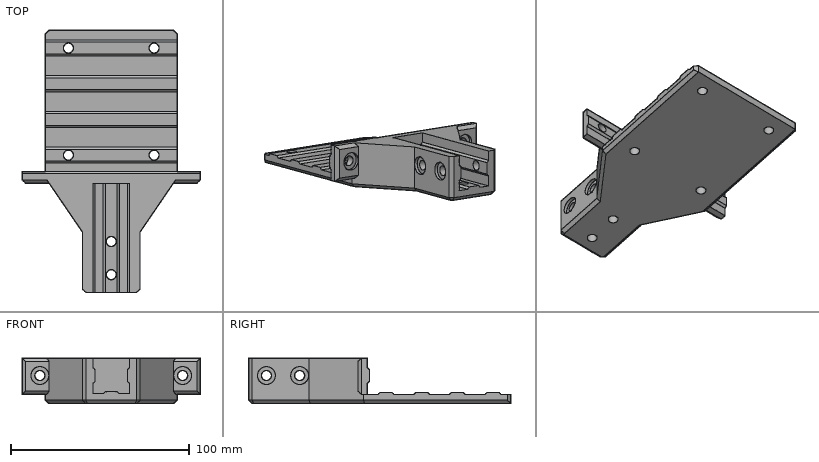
import cadquery as cq

HEIGHT = 25.6
LENGTH = 147.0
EDGE_CHAMFER = 2.0

PLATE_WIDTH = 74.0
PLATE_TOP = 5.2
RIB_PITCH = 20.0
RIB_COUNT = 4
PLATE_HOLE_X = 24.0

RIB_BASE = 9.0
RIB_TOP = 6.6
RIB_HEIGHT = 1.2

FLANGE_WIDTH = 100.0
FLANGE_BOTTOM = 5.2
FLANGE_BACK_Y = 66.6
FLANGE_THICKNESS = 5.4
FLANGE_FRONT_Y = FLANGE_BACK_Y - FLANGE_THICKNESS
FLANGE_HOLE_X = 40.0

SOCKET_OUTER_WIDTH = 32.4
SOCKET_WIDTH = 20.6
SOCKET_FLOOR = 5.6
SOCKET_END_Y = FLANGE_FRONT_Y
TAPER_START_Y = 33.9
TAPER_END_Y = 64.4
SOCKET_HOLE_Y = (10.0, 28.6)

RAIL_AXIS_DROP = 9.8
RAIL_AXIS_Z = HEIGHT - RAIL_AXIS_DROP
HOLE_DIAMETER = 5.5
COUNTERBORE_DIAMETER = 10.0
COUNTERBORE_DEPTH = 1.8


def rib_profile(plane):
    """Trapezoid standing on the wall that carries the rib."""
    return (
        cq.Workplane(plane)
        .moveTo(-RIB_BASE / 2, 0)
        .lineTo(-RIB_TOP / 2, RIB_HEIGHT)
        .lineTo(RIB_TOP / 2, RIB_HEIGHT)
        .lineTo(RIB_BASE / 2, 0)
        .close()
    )


def rib(start, direction, outward, length):
    """Rib that runs from start along direction and stands out along outward."""
    across = cq.Vector(*outward).cross(cq.Vector(*direction))
    return rib_profile(cq.Plane(start, across, direction)).extrude(length)


def make_base():
    """Low plate behind a full-height tapered body, chamfered underneath except along the back end."""
    half_plate = PLATE_WIDTH / 2
    half_socket = SOCKET_OUTER_WIDTH / 2
    right_side = [
        (half_socket - EDGE_CHAMFER, 0),
        (half_socket, EDGE_CHAMFER),
        (half_socket, TAPER_START_Y),
        (half_plate, TAPER_END_Y),
        (half_plate, LENGTH),
    ]
    left_side = [(-x, y) for x, y in reversed(right_side)]
    outline = cq.Workplane("XY").polyline(right_side + left_side).close()
    body = outline.extrude(HEIGHT)
    body = body.faces("<Z").edges("not >Y").chamfer(EDGE_CHAMFER)
    body = body.faces(">Y").edges("<X or >X").chamfer(EDGE_CHAMFER)
    clearance = cq.Workplane("XY").box(
        PLATE_WIDTH, LENGTH - FLANGE_BACK_Y, HEIGHT - PLATE_TOP, centered=(True, False, False)
    )
    return body.cut(clearance.translate((0, FLANGE_BACK_Y, PLATE_TOP)))


def make_flange():
    """Cross flange, chamfered round its front face and ribbed along its back."""
    slab = (
        cq.Workplane("XY")
        .box(FLANGE_WIDTH, FLANGE_THICKNESS, HEIGHT - FLANGE_BOTTOM, centered=(True, False, False))
        .translate((0, FLANGE_FRONT_Y, FLANGE_BOTTOM))
        .faces("<Y")
        .edges()
        .chamfer(EDGE_CHAMFER)
    )
    start = (-FLANGE_WIDTH / 2, FLANGE_BACK_Y, RAIL_AXIS_Z)
    return slab.union(rib(start, (1, 0, 0), (0, 1, 0), FLANGE_WIDTH))


def plate_rib_y(index):
    """Centre line of a plate rib, counted from the back end of the plate."""
    return LENGTH - RIB_PITCH * (index + 0.5)


def add_plate_ribs(part):
    """Evenly spaced ribs across the top of the plate."""
    for index in range(RIB_COUNT):
        start = (-PLATE_WIDTH / 2, plate_rib_y(index), PLATE_TOP)
        part = part.union(rib(start, (1, 0, 0), (0, 0, 1), PLATE_WIDTH))
    return part


def cut_socket(part):
    """Open-topped rail socket with one rib on its floor and one on each side wall."""
    socket = (
        cq.Workplane("XY")
        .box(SOCKET_WIDTH, SOCKET_END_Y, HEIGHT - SOCKET_FLOOR, centered=(True, False, False))
        .translate((0, 0, SOCKET_FLOOR))
    )
    part = part.cut(socket)
    along = (0, 1, 0)
    part = part.union(rib((0, 0, SOCKET_FLOOR), along, (0, 0, 1), SOCKET_END_Y))
    for side in (-1, 1):
        start = (side * SOCKET_WIDTH / 2, 0, RAIL_AXIS_Z)
        part = part.union(rib(start, along, (-side, 0, 0), SOCKET_END_Y))
    return part


def cylinder(start, direction, diameter, length):
    """Cylinder that grows from the centre of its start face."""
    solid = cq.Solid.makeCylinder(diameter / 2, length, cq.Vector(*start), cq.Vector(*direction))
    return cq.Workplane(solid)


def counterbored_hole(part, start, direction, length):
    """Hole with a counterbore, both starting at the outer face."""
    part = part.cut(cylinder(start, direction, HOLE_DIAMETER, length))
    return part.cut(cylinder(start, direction, COUNTERBORE_DIAMETER, COUNTERBORE_DEPTH))


def drill_vertical_holes(part):
    """Plain holes through the plate's first and last ribs and through the socket floor."""
    places = [(0, y) for y in SOCKET_HOLE_Y]
    for index in (0, RIB_COUNT - 1):
        for side in (-1, 1):
            places.append((side * PLATE_HOLE_X, plate_rib_y(index)))
    for x, y in places:
        part = part.cut(cylinder((x, y, 0), (0, 0, 1), HOLE_DIAMETER, HEIGHT))
    return part


def drill_side_holes(part):
    """Counterbored holes through the flange wings and both socket walls."""
    flange_hole_length = FLANGE_THICKNESS + RIB_HEIGHT
    wall_hole_length = SOCKET_OUTER_WIDTH / 2
    for side in (-1, 1):
        flange_start = (side * FLANGE_HOLE_X, FLANGE_FRONT_Y, RAIL_AXIS_Z)
        part = counterbored_hole(part, flange_start, (0, 1, 0), flange_hole_length)
        for y in SOCKET_HOLE_Y:
            wall_start = (side * SOCKET_OUTER_WIDTH / 2, y, RAIL_AXIS_Z)
            part = counterbored_hole(part, wall_start, (-side, 0, 0), wall_hole_length)
    return part


result = make_base().union(make_flange())
result = add_plate_ribs(result)
result = cut_socket(result)
result = drill_vertical_holes(result)
result = drill_side_holes(result)